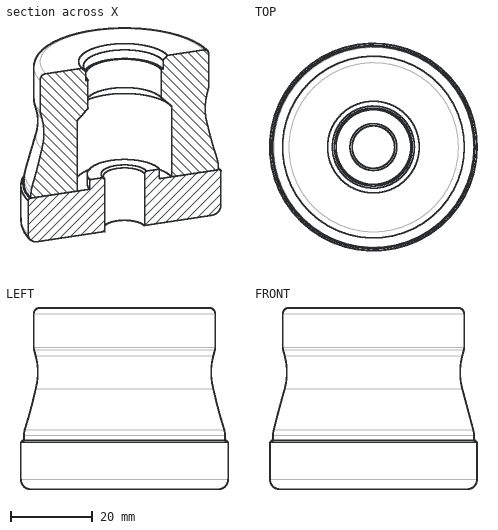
import cadquery as cq
import math

base_radius = 25.4
base_height = 12.0
base_bottom_fillet = 2.5
base_rim_chamfer = 0.5
hole_radius = 5.2
hole_chamfer = 0.55
boss_radius = 9.15
boss_height = 2.55

total_height = 44.45
hip_radius = 24.65
hip_fillet = 5.1
waist_radius = 21.25
waist_z = 28.65
waist_arc_radius = 15.5
flange_radius = 22.25
flange_lower_fillet = 2.2
flange_top_fillet = 1.5
flare_angle = math.radians(15)

mouth_radius = 10.05
mouth_depth = 3.45
mouth_chamfer = 1.15
bore_radius = 9.55
bore_depth = 10.95
cavity_radius = 12.3


def arc_offset(radius, angle):
    """Return the radial and axial reach of an arc that starts vertical and turns by angle."""
    return radius * (1 - math.cos(angle)), radius * math.sin(angle)


def make_base():
    """Disc with a rounded foot, a chamfered rim, a boss and a countersunk through hole."""
    disc = cq.Workplane("XY").circle(base_radius).extrude(base_height)
    disc = disc.faces("<Z").edges().fillet(base_bottom_fillet)
    disc = disc.faces(">Z").edges().chamfer(base_rim_chamfer)
    boss = cq.Workplane("XY").workplane(offset=base_height).circle(boss_radius).extrude(boss_height)
    full_height = base_height + boss_height
    hole = cq.Workplane("XY").circle(hole_radius).extrude(full_height)
    countersink = (
        cq.Workplane("XY")
        .workplane(offset=full_height)
        .circle(hole_radius + hole_chamfer)
        .extrude(-hole_chamfer, taper=45)
    )
    return disc.union(boss).cut(hole).cut(countersink)


def make_outer_form():
    """Revolve the outline: hip, cone, concave waist, cone and flange, all tangent."""
    waist_dr, waist_dz = arc_offset(waist_arc_radius, flare_angle)
    hip_dr, hip_dz = arc_offset(hip_fillet, flare_angle)
    flange_dr, flange_dz = arc_offset(flange_lower_fillet, flare_angle)
    hip_mid_dr, hip_mid_dz = arc_offset(hip_fillet, flare_angle / 2)
    flange_mid_dr, flange_mid_dz = arc_offset(flange_lower_fillet, flare_angle / 2)

    cone_end_radius = waist_radius + waist_dr
    hip_cone_height = (hip_radius - hip_dr - cone_end_radius) / math.tan(flare_angle)
    flange_cone_height = (flange_radius - flange_dr - cone_end_radius) / math.tan(flare_angle)
    hip_z = waist_z - waist_dz - hip_cone_height - hip_dz
    flange_z = waist_z + waist_dz + flange_cone_height + flange_dz

    outline = (
        cq.Workplane("XZ")
        .moveTo(0, base_height)
        .lineTo(hip_radius, base_height)
        .lineTo(hip_radius, hip_z)
        .threePointArc((hip_radius - hip_mid_dr, hip_z + hip_mid_dz), (hip_radius - hip_dr, hip_z + hip_dz))
        .lineTo(cone_end_radius, waist_z - waist_dz)
        .threePointArc((waist_radius, waist_z), (cone_end_radius, waist_z + waist_dz))
        .lineTo(flange_radius - flange_dr, flange_z - flange_dz)
        .threePointArc((flange_radius - flange_mid_dr, flange_z - flange_mid_dz), (flange_radius, flange_z))
        .lineTo(flange_radius, total_height)
        .lineTo(0, total_height)
        .close()
    )
    form = outline.revolve(360, (0, 0, 0), (0, 1, 0))
    return form.faces(">Z").edges().fillet(flange_top_fillet)


def make_bore():
    """Revolve the cutter: chamfered mouth, bore, 45 degree cone and wide lower cavity."""
    bore_end_z = total_height - bore_depth
    cavity_top_z = bore_end_z - (cavity_radius - bore_radius)
    ledge_z = total_height - mouth_depth
    outline = (
        cq.Workplane("XZ")
        .moveTo(0, base_height)
        .lineTo(cavity_radius, base_height)
        .lineTo(cavity_radius, cavity_top_z)
        .lineTo(bore_radius, bore_end_z)
        .lineTo(bore_radius, ledge_z)
        .lineTo(mouth_radius, ledge_z)
        .lineTo(mouth_radius, total_height - mouth_chamfer)
        .lineTo(mouth_radius + mouth_chamfer, total_height)
        .lineTo(0, total_height)
        .close()
    )
    return outline.revolve(360, (0, 0, 0), (0, 1, 0))


base = make_base()
waisted_body = make_outer_form().cut(make_bore())

result = cq.Compound.makeCompound([base.val(), waisted_body.val()])